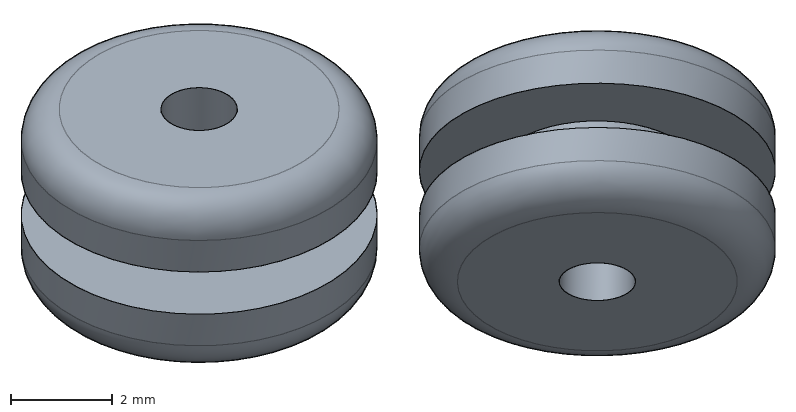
import cadquery as cq

outer_diameter = 7.0
height = 4.0
groove_width = 1.0
neck_diameter = 4.0
bore_diameter = 1.5
rim_radius = 0.75

flange_thickness = (height - groove_width) / 2


def flange():
    """Disc standing on the XY plane with its upper outer edge rounded."""
    disc = cq.Workplane("XY").circle(outer_diameter / 2).extrude(flange_thickness)
    return disc.faces(">Z").edges().fillet(rim_radius)


upper_flange = flange().translate((0, 0, groove_width / 2))
lower_flange = upper_flange.mirror("XY")

neck = cq.Workplane("XY").circle(neck_diameter / 2).extrude(groove_width / 2, both=True)

bore = cq.Workplane("XY").circle(bore_diameter / 2).extrude(height, both=True)

result = upper_flange.union(neck).union(lower_flange).cut(bore)